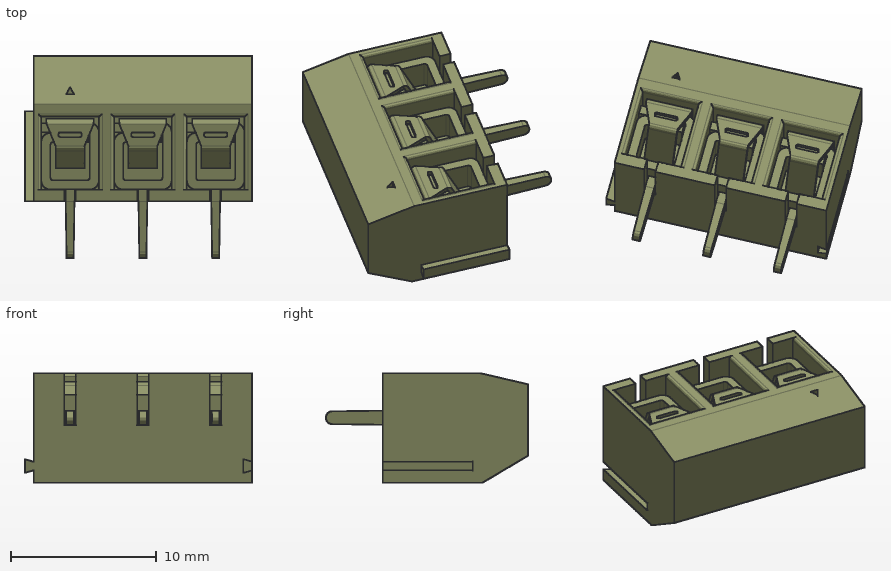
import cadquery as cq
import math


pole_count = 3
pitch = 5.0
housing_length = pole_count * pitch
housing_depth = 10.0
housing_height = 7.55
upper_bevel_start_y = 6.7
lower_bevel_start_y = 6.85
upper_bevel_drop = 0.77
lower_bevel_rise = 1.87

dovetail_projection = 0.6
dovetail_length = 6.2
dovetail_center_z = 1.16
dovetail_wide = 0.95
dovetail_narrow = 0.6

pocket_width = 3.96
pocket_front_y = 0.8
pocket_back_y = 5.8
pocket_floor_z = 3.96
rim_radius = 0.22
slot_width = 0.8

cage_width = 3.94
cage_wall = 0.62
cage_front_y = 0.82
cage_inner_back_y = 4.7
cage_top_z = 6.07
cage_outer_radius = 0.6
cage_inner_radius = 0.2
cage_lap_gap = 0.06
cage_end_gap = 0.1

leaf_thickness = 0.3
leaf_back_y = 5.69
leaf_top_z = 6.95
leaf_bend_radius = 0.37
leaf_corner_y = 3.58
leaf_foot_y = 2.28
leaf_wide = 3.24
leaf_narrow = 2.0
leaf_taper_end_y = 3.82
leaf_slot_length = 1.62
leaf_slot_width = 0.31
leaf_slot_y = 4.57

pin_tip_y = -3.9
pin_root_width = 0.62
pin_tip_width = 0.5
pin_root_height = 0.98
pin_tip_radius = 0.45
pin_clearance = 0.03
pin_center_z = pocket_floor_z + pin_clearance + pin_root_height / 2

mark_width = 0.54
mark_base_y = 7.36
mark_height = 0.48
mark_depth = 0.5

pole_centers = [(i + 0.5) * pitch for i in range(pole_count)]


def box(x0, x1, y0, y1, z0, z1):
    """Box given by its limits along each axis."""
    return cq.Workplane("XY").box(x1 - x0, y1 - y0, z1 - z0, centered=False).translate((x0, y0, z0))


def dovetail(face_x):
    """Dovetail bar along Y, wide at its -X end and narrow at the plane x = face_x."""
    outer_x = face_x - dovetail_projection
    return (
        cq.Workplane("XZ")
        .polyline([
            (outer_x, dovetail_center_z - dovetail_wide / 2),
            (face_x, dovetail_center_z - dovetail_narrow / 2),
            (face_x, dovetail_center_z + dovetail_narrow / 2),
            (outer_x, dovetail_center_z + dovetail_wide / 2),
        ])
        .close()
        .extrude(-dovetail_length)
    )


def mirror_plan(half_points):
    """Mirror (half width, y) points about x = 0 into a closed outline."""
    return half_points + [(-x, y) for x, y in reversed(half_points)]


def housing_block():
    """Bevelled block with the dovetail rail and groove."""
    block = (
        cq.Workplane("YZ")
        .polyline([
            (0, 0),
            (lower_bevel_start_y, 0),
            (housing_depth, lower_bevel_rise),
            (housing_depth, housing_height - upper_bevel_drop),
            (upper_bevel_start_y, housing_height),
            (0, housing_height),
        ])
        .close()
        .extrude(housing_length)
    )
    return block.union(dovetail(0)).cut(dovetail(housing_length))


def cut_pocket(body, center_x):
    """Open-top pocket with its side and back rims rounded, plus the pin slot in the front wall."""
    left = center_x - pocket_width / 2
    right = center_x + pocket_width / 2
    body = body.cut(box(left, right, pocket_front_y, pocket_back_y, pocket_floor_z, housing_height))
    margin = 0.01
    rim_zone = cq.selectors.BoxSelector(
        (left - margin, pocket_front_y + margin, housing_height - margin),
        (right + margin, pocket_back_y + margin, housing_height + margin),
    )
    body = body.edges(rim_zone).fillet(rim_radius)
    half_slot = slot_width / 2
    return body.cut(
        box(center_x - half_slot, center_x + half_slot, 0, pocket_front_y, pocket_floor_z, housing_height)
    )


def cut_mark(body):
    """Engraved triangle on the upper bevel beside the first pole."""
    bevel_slope = upper_bevel_drop / (housing_depth - upper_bevel_start_y)
    mark_z = housing_height - bevel_slope * (mark_base_y - upper_bevel_start_y) - mark_depth
    mark = (
        cq.Workplane("XY", origin=(pole_centers[0], mark_base_y, mark_z))
        .polyline([(-mark_width / 2, 0), (mark_width / 2, 0), (0, mark_height)])
        .close()
        .extrude(housing_height - mark_z)
    )
    return body.cut(mark)


def cage():
    """Ring of strip closed by an outer lap that continues the +X leg across the back."""
    half = cage_width / 2
    inner_half = half - cage_wall
    lap_front_y = cage_inner_back_y + cage_lap_gap
    lap_back_y = lap_front_y + cage_wall
    bottom, top = pocket_floor_z, cage_top_z
    outer = box(-half, half, cage_front_y, lap_back_y, bottom, top)
    outer = outer.edges("|Z and (<Y or >X)").edges("not(<X and >Y)").fillet(cage_outer_radius)

    opening = box(
        -inner_half, inner_half, cage_front_y + cage_wall, cage_inner_back_y - cage_wall, bottom, top
    )
    opening = opening.edges("|Z").fillet(cage_inner_radius)
    lap_slit = box(-half, inner_half, cage_inner_back_y, lap_front_y, bottom, top)
    end_slit = box(
        inner_half - cage_end_gap, inner_half, cage_inner_back_y - 2 * cage_wall, lap_front_y, bottom, top
    )
    corner = box(
        -half, -half + cage_outer_radius, cage_inner_back_y - cage_outer_radius, cage_inner_back_y, bottom, top
    )
    corner_round = (
        cq.Workplane("XY", origin=(0, 0, bottom))
        .center(-half + cage_outer_radius, cage_inner_back_y - cage_outer_radius)
        .circle(cage_outer_radius)
        .extrude(top - bottom)
    )
    return outer.cut(opening).cut(lap_slit).cut(end_slit).cut(corner.cut(corner_round))


def spring_leaf():
    """Bent sheet: back leg, flat top with a slot, and a steep front leg down to the pocket floor."""
    leg_rise = leaf_top_z - pocket_floor_z
    leg_run = leaf_corner_y - leaf_foot_y
    leg_angle = math.atan2(leg_rise, leg_run)
    foot_length = leaf_thickness / math.sin(leg_angle)
    inner_corner_y = leaf_corner_y + leaf_thickness * math.tan(leg_angle / 2)
    half_wide = leaf_wide / 2
    sheet = (
        cq.Workplane("YZ")
        .polyline([
            (leaf_foot_y, pocket_floor_z),
            (leaf_corner_y, leaf_top_z),
            (leaf_back_y, leaf_top_z),
            (leaf_back_y, pocket_floor_z),
            (leaf_back_y - leaf_thickness, pocket_floor_z),
            (leaf_back_y - leaf_thickness, leaf_top_z - leaf_thickness),
            (inner_corner_y, leaf_top_z - leaf_thickness),
            (leaf_foot_y + foot_length, pocket_floor_z),
        ])
        .close()
        .extrude(half_wide, both=True)
        .faces(">Z")
        .edges("|X")
        .fillet(leaf_bend_radius)
    )
    plan = mirror_plan([
        (leaf_narrow / 2, leaf_foot_y),
        (leaf_narrow / 2, leaf_taper_end_y),
        (half_wide, leaf_back_y - leaf_bend_radius),
        (half_wide, leaf_back_y),
    ])
    blank = cq.Workplane("XY").polyline(plan).close().extrude(housing_height)
    slot = (
        cq.Workplane("XY", origin=(0, leaf_slot_y, cage_top_z))
        .slot2D(leaf_slot_length, leaf_slot_width)
        .extrude(housing_height - cage_top_z)
    )
    return sheet.intersect(blank).cut(slot)


def pin():
    """Solder pin rooted in the cage front wall, tapering outside the housing to a round tip."""
    root_y = cage_front_y + cage_wall / 2
    tip_center_y = pin_tip_y + pin_tip_radius
    half_height = pin_root_height / 2
    side = (
        cq.Workplane("YZ", origin=(-pin_root_width / 2, 0, pin_center_z))
        .moveTo(root_y, half_height)
        .lineTo(0, half_height)
        .lineTo(tip_center_y, pin_tip_radius)
        .threePointArc((pin_tip_y, 0), (tip_center_y, -pin_tip_radius))
        .lineTo(0, -half_height)
        .lineTo(root_y, -half_height)
        .close()
        .extrude(pin_root_width)
    )
    plan = mirror_plan([
        (pin_root_width / 2, root_y),
        (pin_root_width / 2, 0),
        (pin_tip_width / 2, pin_tip_y),
    ])
    return side.intersect(cq.Workplane("XY").polyline(plan).close().extrude(housing_height))


result = cut_mark(housing_block())
contact = cage().union(spring_leaf()).union(pin())
for pole_x in pole_centers:
    result = cut_pocket(result, pole_x)
    result = result.union(contact.translate((pole_x, 0, 0)))